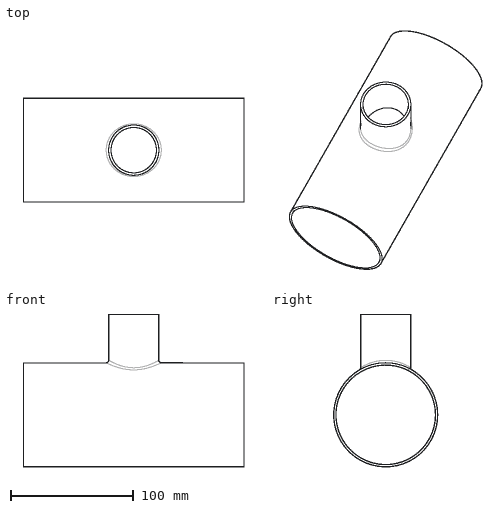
import cadquery as cq

run_length = 180.0
run_outer_diameter = 85.0
run_inner_diameter = 81.0

branch_outer_diameter = 41.0
branch_inner_diameter = 37.0
branch_top = 82.0

weld_fillet_radius = 2.0


def run_cylinder(diameter):
    """Cylinder along X, as long as the main pipe and centred on the origin."""
    return cq.Workplane("YZ").circle(diameter / 2).extrude(run_length / 2, both=True)


def branch_cylinder(diameter):
    """Cylinder along Z, from the main pipe axis up to the branch mouth."""
    return cq.Workplane("XY").circle(diameter / 2).extrude(branch_top)


def outer_body():
    """Both pipes as solid bars, with the seam between them filleted."""
    body = run_cylinder(run_outer_diameter).union(branch_cylinder(branch_outer_diameter))
    margin = 1.0
    reach = branch_outer_diameter / 2 + margin
    seam_box = cq.selectors.BoxSelector(
        (-reach, -reach, 0),
        (reach, reach, run_outer_diameter / 2 + margin),
        boundingbox=True,
    )
    return body.edges(seam_box).fillet(weld_fillet_radius)


result = (
    outer_body()
    .cut(run_cylinder(run_inner_diameter))
    .cut(branch_cylinder(branch_inner_diameter))
)